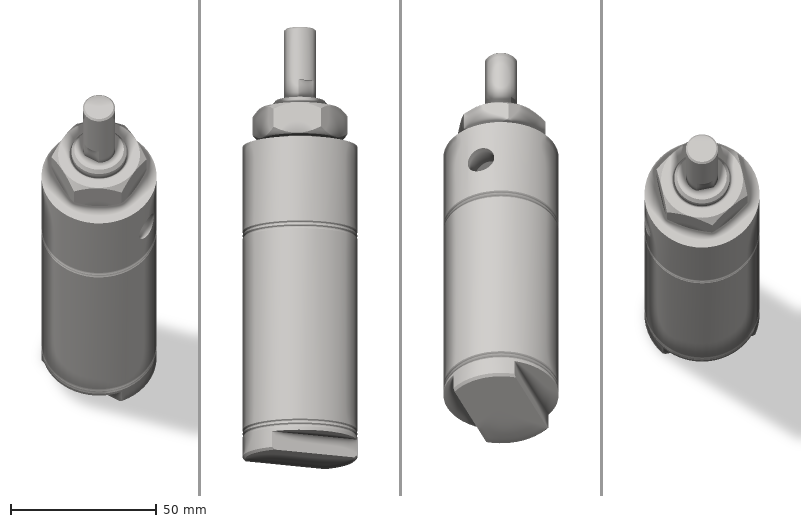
import cadquery as cq
import math

total_height = 150.88
collar_top = 125.6
nut_top = 122.6
nut_height = 10.9
body_top = 109.5
front_crimp_top = 79.85
rear_crimp_top = 10.25
tang_height = 6.35

body_radius = 39.62 / 2
tang_thickness = 22.5
tang_chamfer = 0.85

ridge_height = 1.35
ridge_depth = 0.6
ridge_shoulder = 0.4
ridges_per_crimp = 2

collar_radius = 19.05 / 2
collar_chamfer_height = 1.2
collar_chamfer_width = 1.0

port_diameter = 9.7
port_depth = 8.0
port_height = 94.2

rod_radius = 11.11 / 2
rod_chamfer = 0.6
rod_flat_width = 9.53
rod_flat_length = 6.6
rod_bottom = front_crimp_top

nut_across_flats = 28.4
nut_corner_radius = nut_across_flats / math.sqrt(3)
nut_face_radius = 14.1
nut_countersink_radius = 10.2
nut_countersink = nut_countersink_radius - collar_radius


def revolve_about_z(points):
    """Revolve an outline of (radius, height) points around the Z axis."""
    return cq.Workplane("XZ").polyline(points).close().revolve(360, (0, 0, 0), (0, 1, 0))


def crimp_points(top):
    """Outline points of one crimped ring, from its top downwards."""
    points = []
    for ridge in range(ridges_per_crimp):
        ridge_top = top - ridge * ridge_height
        points.append((body_radius, ridge_top))
        points.append((body_radius - ridge_depth, ridge_top - ridge_shoulder))
    points.append((body_radius, top - ridges_per_crimp * ridge_height))
    return points


def make_body():
    """Cylinder body with collar, crimped rings, rear tang, air port and rod bore."""
    outline = [
        (0, 0),
        (0, collar_top),
        (collar_radius - collar_chamfer_width, collar_top),
        (collar_radius, collar_top - collar_chamfer_height),
        (collar_radius, body_top),
        (body_radius, body_top),
        *crimp_points(front_crimp_top),
        *crimp_points(rear_crimp_top),
        (body_radius, tang_chamfer),
        (body_radius - tang_chamfer, 0),
    ]
    body = revolve_about_z(outline)

    for side in (-1, 1):
        cut_centre = side * (tang_thickness / 2 + body_radius / 2)
        flat_cut = cq.Workplane("XY").center(0, cut_centre)
        flat_cut = flat_cut.rect(2 * body_radius, body_radius).extrude(tang_height)
        body = body.cut(flat_cut)

    port = cq.Workplane("YZ", origin=(body_radius - port_depth, 0, port_height))
    body = body.cut(port.circle(port_diameter / 2).extrude(port_depth))

    rod_bore = cq.Workplane("XY", origin=(0, 0, rod_bottom))
    return body.cut(rod_bore.circle(rod_radius).extrude(total_height - rod_bottom))


def make_rod():
    """Piston rod with a chamfered end and two wrench flats just above the collar."""
    rod = cq.Workplane("XY", origin=(0, 0, rod_bottom))
    rod = rod.circle(rod_radius).extrude(total_height - rod_bottom)
    rod = rod.faces(">Z").chamfer(rod_chamfer)
    for side in (-1, 1):
        cut_centre = side * (rod_flat_width + rod_radius) / 2
        flat_cut = cq.Workplane("XY", origin=(0, cut_centre, collar_top))
        rod = rod.cut(flat_cut.rect(2 * rod_radius, rod_radius).extrude(rod_flat_length))
    return rod


def make_nut():
    """Hex nut with corners on the Y axis, both faces chamfered and the bore countersunk."""
    nut_bottom = nut_top - nut_height
    corner_drop = nut_corner_radius - nut_face_radius
    hexagon = cq.Workplane("XY", origin=(0, 0, nut_bottom))
    hexagon = hexagon.transformed(rotate=(0, 0, 90))
    hexagon = hexagon.polygon(6, 2 * nut_corner_radius).extrude(nut_height)
    chamfered_ring = revolve_about_z([
        (collar_radius, nut_bottom + nut_countersink),
        (nut_countersink_radius, nut_bottom),
        (nut_face_radius, nut_bottom),
        (nut_corner_radius, nut_bottom + corner_drop),
        (nut_corner_radius, nut_top - corner_drop),
        (nut_face_radius, nut_top),
        (nut_countersink_radius, nut_top),
        (collar_radius, nut_top - nut_countersink),
    ])
    return hexagon.intersect(chamfered_ring)


body = make_body()
rod = make_rod()
nut = make_nut()

result = cq.Compound.makeCompound([body.val(), rod.val(), nut.val()])